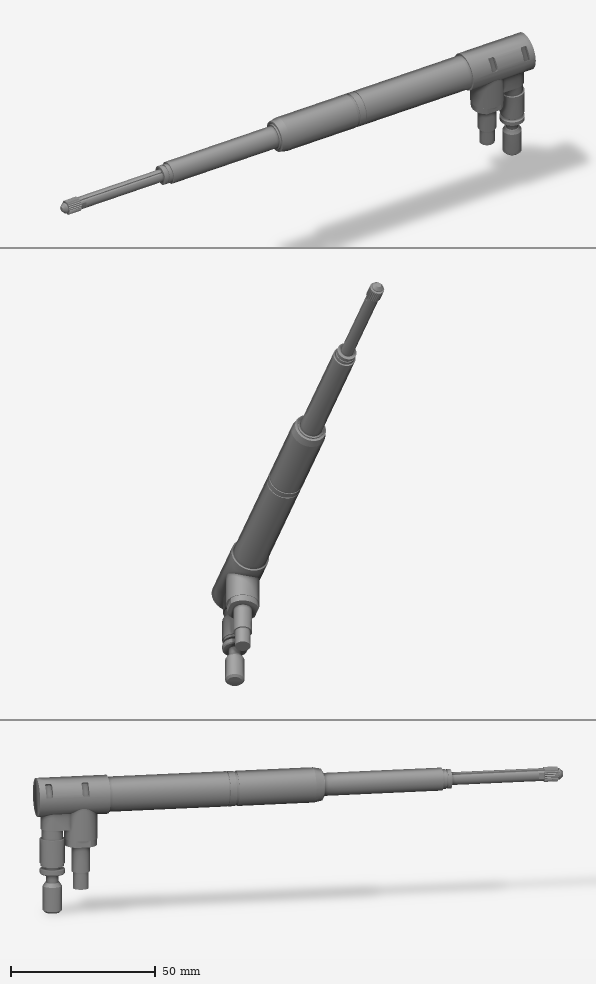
import cadquery as cq
import math

total_length = 185.5
total_height = 47.9

head_diameter = 13.5
head_end = 24.9

body_diameter = 12.2
joint_line = 67.0
joint_groove_start = 69.5
joint_groove_width = 1.0
joint_line_width = 0.4
joint_depth = 0.28
nose_start = 97.5
nose_end = 100.4
nose_diameter = 11.1
nose_lip_diameter = 9.3
nose_lip_length = 0.5

tube_diameter = 8.0
tube_end = 142.8
collar_diameter = 6.9
collar_end = 146.0
collar_groove_width = 0.5
collar_groove_depth = 0.28

rod_diameter = 4.5
shelf_height = 1.61
key_width = 1.7
flats_start = 176.8
flats_across = 3.9

knurl_start = 178.8
knurl_end = 183.6
knurl_diameter = 5.2
knurl_teeth = 24
knurl_depth = 0.28
tip_neck_diameter = 3.3
tip_neck_length = 0.4
tip_disc_diameter = 3.9
tip_disc_length = 0.4
tip_end_diameter = 1.9

pocket_near_edge = 2.2
pocket_far_edge = 17.5
pocket_width = 2.5
pocket_length = 5.2
pocket_floor = 5.0
pocket_angle = 32.0
pocket_corner_radius = 0.7

boss_position = 15.5
boss_diameter = 11.7
foot_top = 15.0
boss_bottom = 17.5
foot_across = 10.0
foot_diameter = 11.3
stub_diameter = 6.5
stub_step = 26.9
stub_end_diameter = 5.4
stub_bottom = 33.0

plug_position = 5.5
saddle_diameter = 8.2
saddle_bottom = 11.3
saddle_far_center = 10.2

plug_diameter = 8.7
plug_neck_diameter = 7.5
plug_neck_bottom = 14.8
plug_lip_top = 23.5
plug_lip_diameter = 8.2
plug_body_bottom = 24.5
plug_groove_diameter = 5.5
plug_groove_bottom = 25.6
plug_rim_bottom = 27.5
plug_rim_chamfer = 0.4
pin_diameter = 4.3
pin_bottom = 30.5
knob_shoulder_diameter = 5.0
knob_diameter = 6.7
knob_top = 31.7
knob_bottom = total_height - head_diameter / 2
knob_chamfer = 0.7


def turned_along_y(stations):
    """Solid of revolution about Y from (distance from rear, diameter) stations."""
    first, last = stations[0][0], stations[-1][0]
    outline = [(0, -first)] + [(diameter / 2, -along) for along, diameter in stations] + [(0, -last)]
    return cq.Workplane("XY").polyline(outline).close().revolve(360, (0, 0), (0, 1))


def turned_down(position, stations):
    """Solid of revolution about a vertical line from (depth, diameter) stations, starting at axis height."""
    outline = [(0, 0), (stations[0][1] / 2, 0)]
    outline += [(diameter / 2, -along) for along, diameter in stations]
    outline += [(0, -stations[-1][0])]
    solid = cq.Workplane("XZ").polyline(outline).close().revolve(360, (0, 0), (0, 1))
    return solid.translate((0, -position, 0))


def ring_groove(start, width, diameter, depth):
    """Ring-shaped cutter for a groove around the main axis."""
    plane = cq.Workplane("XZ", origin=(0, -start, 0))
    return plane.circle(diameter).circle(diameter / 2 - depth).extrude(width)


def main_shaft():
    shaft = turned_along_y([
        (0, head_diameter),
        (head_end, head_diameter),
        (head_end, body_diameter),
        (nose_start, body_diameter),
        (nose_end, nose_diameter),
        (nose_end, nose_lip_diameter),
        (nose_end + nose_lip_length, nose_lip_diameter),
        (nose_end + nose_lip_length, tube_diameter),
        (tube_end, tube_diameter),
        (tube_end, collar_diameter),
        (collar_end, collar_diameter),
    ])
    collar_groove_start = (tube_end + collar_end - collar_groove_width) / 2
    for start, width, diameter, depth in (
        (joint_line, joint_line_width, body_diameter, joint_depth),
        (joint_groove_start, joint_groove_width, body_diameter, joint_depth),
        (collar_groove_start, collar_groove_width, collar_diameter, collar_groove_depth),
    ):
        shaft = shaft.cut(ring_groove(start, width, diameter, depth))
    return shaft


def sliding_rod():
    length = knurl_start - collar_end
    rod = cq.Workplane("XZ", origin=(0, -collar_end, 0)).circle(rod_diameter / 2).extrude(length)
    for side in (-1, 1):
        shelf = cq.Workplane("XY").box(rod_diameter, length, rod_diameter, centered=(True, False, False))
        shelf_x = side * (key_width + rod_diameter) / 2
        rod = rod.cut(shelf.translate((shelf_x, -knurl_start, shelf_height)))
        flat = cq.Workplane("XY").box(
            rod_diameter, knurl_start - flats_start, rod_diameter, centered=(True, False, True)
        )
        rod = rod.cut(flat.translate((side * (flats_across + rod_diameter) / 2, -knurl_start, 0)))
    return rod


def knurled_tip():
    half_pitch = math.pi / knurl_teeth
    teeth = []
    for i in range(2 * knurl_teeth):
        radius = knurl_diameter / 2 - knurl_depth * (i % 2)
        teeth.append((radius * math.cos(i * half_pitch), radius * math.sin(i * half_pitch)))
    grip = cq.Workplane("XZ", origin=(0, -knurl_start, 0)).polyline(teeth).close()
    grip = grip.extrude(knurl_end - knurl_start)
    disc_start = knurl_end + tip_neck_length
    disc_end = disc_start + tip_disc_length
    point = turned_along_y([
        (knurl_end, tip_neck_diameter),
        (disc_start, tip_neck_diameter),
        (disc_start, tip_disc_diameter),
        (disc_end, tip_disc_diameter),
        (total_length, tip_end_diameter),
    ])
    return grip.union(point)


def screw_pockets():
    """Cutters for four pockets, rounded on the sides that face each other."""
    pockets = []
    for side in (-1, 1):
        for start, rounded in ((pocket_near_edge, "<Y"), (pocket_far_edge - pocket_width, ">Y")):
            pocket = (
                cq.Workplane("XY")
                .box(head_diameter, pocket_width, pocket_length, centered=(False, True, True))
                .faces(rounded).edges("|X").fillet(pocket_corner_radius)
                .translate((pocket_floor, -start - pocket_width / 2, 0))
                .rotate((0, 0, 0), (0, 1, 0), -pocket_angle)
            )
            if side < 0:
                pocket = pocket.mirror("YZ")
            pockets.append(pocket)
    return pockets


def boss_and_stub():
    boss = turned_down(boss_position, [
        (foot_top, boss_diameter),
        (foot_top, foot_diameter),
        (boss_bottom, foot_diameter),
        (boss_bottom, stub_diameter),
        (stub_step, stub_diameter),
        (stub_step, stub_end_diameter),
        (stub_bottom, stub_end_diameter),
    ])
    foot_height = boss_bottom - foot_top
    for side in (-1, 1):
        flat = cq.Workplane("XY").box(boss_diameter, boss_diameter, foot_height, centered=(True, True, False))
        flat_x = side * (foot_across + boss_diameter) / 2
        boss = boss.cut(flat.translate((flat_x, -boss_position, -boss_bottom)))
    return boss


def saddle():
    center_distance = saddle_far_center - plug_position
    middle = -(plug_position + saddle_far_center) / 2
    block = cq.Workplane("XY").center(0, middle)
    return block.slot2D(center_distance + saddle_diameter, saddle_diameter, 90).extrude(-saddle_bottom)


def plug():
    return turned_down(plug_position, [
        (plug_neck_bottom, plug_neck_diameter),
        (plug_neck_bottom, plug_diameter),
        (plug_lip_top, plug_diameter),
        (plug_lip_top, plug_lip_diameter),
        (plug_body_bottom, plug_lip_diameter),
        (plug_body_bottom, plug_groove_diameter),
        (plug_groove_bottom, plug_groove_diameter),
        (plug_groove_bottom, plug_diameter),
        (plug_rim_bottom - plug_rim_chamfer, plug_diameter),
        (plug_rim_bottom, plug_diameter - 2 * plug_rim_chamfer),
        (plug_rim_bottom, pin_diameter),
        (pin_bottom, pin_diameter),
        (pin_bottom, knob_shoulder_diameter),
        (knob_top, knob_diameter),
        (knob_bottom - knob_chamfer, knob_diameter),
        (knob_bottom, knob_diameter - 2 * knob_chamfer),
    ])


result = main_shaft()
for piece in (sliding_rod(), knurled_tip(), boss_and_stub(), saddle(), plug()):
    result = result.union(piece)
for pocket in screw_pockets():
    result = result.cut(pocket)